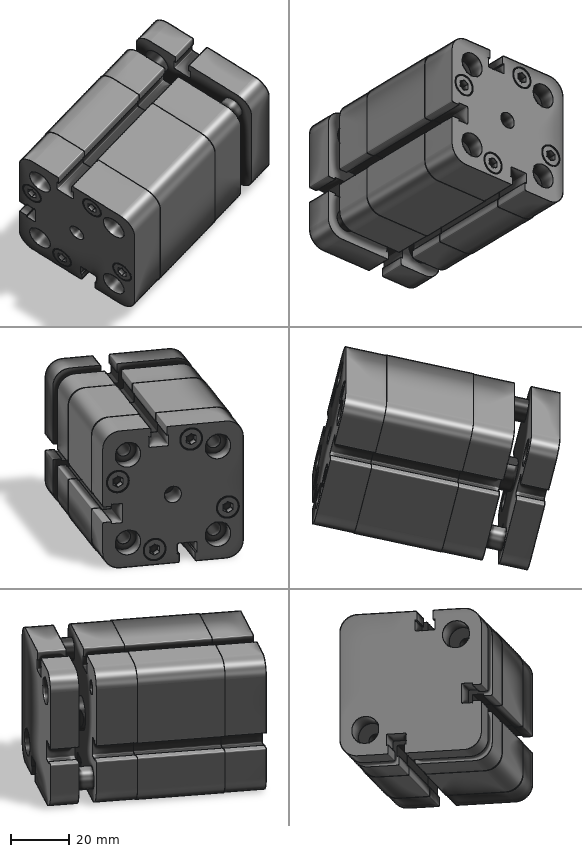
import cadquery as cq
import math

total_length = 75.5
cap_length = 14.4
plate_thickness = 10.0
gap = 6.05
front_y = -total_length / 2
plate_y = total_length / 2 - plate_thickness
body_end_y = plate_y - gap
body_length = body_end_y - front_y
tube_length = body_length - 2 * cap_length

cap_width = 50.0
cap_corner_radius = 6.2
tube_width = 50.1
tube_corner_radius = 6.0

slot_offset = 5.05
cap_slot_opening = 5.7
tube_slot_opening = 5.4
slot_undercut = 0.7
slot_round = 0.5
slot_lip_depth = 3.2
slot_depth = 7.0
slot_angles = (0, 90, 180)

mount_pitch = 32.0
mount_hole_diameter = 5.0
mount_bore_diameter = 9.0
mount_bore_depth = 5.8
plate_access_diameter = 9.5

screw_offset = 6.5
screw_distance = 19.55
screw_bore_diameter = 8.0
screw_head_diameter = 7.5
screw_ring_depth = 0.5
screw_hex_flats = 3.5
screw_hex_depth = 3.0

port_diameter = 6.0
port_depth = 10.0

guide_diameter = 8.0
guide_pitch = 34.0
rod_diameter = 12.0
rod_flats = 10.0
rod_tip_fillet = 1.1
rod_flat_length = 4.4
rod_embed = 0.75


def section(y):
    """Workplane across Y at the given place, with local X = X, local Y = Z, extruding toward +Y."""
    return cq.Workplane(cq.Plane(origin=(0, y, 0), xDir=(1, 0, 0), normal=(0, -1, 0)))


def cylinder(y, length, diameter, points):
    """Equal cylinders toward +Y, one at each (x, z) point."""
    return section(y).pushPoints(points).circle(diameter / 2).extrude(-length)


def turned(body, angle):
    """Turn a body about the Y axis, from +Z toward -X for positive angles."""
    return body.rotate((0, 0, 0), (0, 1, 0), -angle)


def slot_cutter(y, length, width, opening):
    """T-slot in the top side, with rounded lips at its mouth and rounded corners at its floor."""
    top = width / 2
    half = opening / 2
    inner_half = half + slot_undercut
    lip_z = top - slot_lip_depth
    floor_z = top - slot_depth
    r = slot_round
    return (
        section(y)
        .center(-slot_offset, 0)
        .moveTo(-half - r, top)
        .radiusArc((-half, top - r), r)
        .lineTo(-half, lip_z)
        .lineTo(-inner_half, lip_z)
        .lineTo(-inner_half, floor_z + r)
        .radiusArc((-inner_half + r, floor_z), -r)
        .lineTo(inner_half - r, floor_z)
        .radiusArc((inner_half, floor_z + r), -r)
        .lineTo(inner_half, lip_z)
        .lineTo(half, lip_z)
        .lineTo(half, top - r)
        .radiusArc((half + r, top), r)
        .close()
        .extrude(-length)
    )


def slotted_block(y, length, width, corner_radius, slot_opening):
    """Square block with rounded edges and a T-slot in its top, left and bottom sides."""
    block = section(y).rect(width, width).extrude(-length).edges("|Y").fillet(corner_radius)
    cutter = slot_cutter(y, length, width, slot_opening)
    for angle in slot_angles:
        block = block.cut(turned(cutter, angle))
    return block


def cap_block(y, length):
    """Slotted block with the cross-section of the caps and the plate."""
    return slotted_block(y, length, cap_width, cap_corner_radius, cap_slot_opening)


def piston_rod():
    """Rod with two flats facing +X and -X, a rounded tip and a 45 degree run-out behind the flats."""
    radius = rod_diameter / 2
    start = body_end_y - rod_embed
    rod = cylinder(start, plate_y - start, rod_diameter, [(0, 0)])
    rod = rod.faces(">Y").edges().fillet(rod_tip_fillet)
    flat_x = rod_flats / 2
    flat_end = plate_y - rod_flat_length
    run_out = radius - flat_x
    waste = (
        cq.Workplane("XY")
        .moveTo(flat_x, plate_y)
        .lineTo(flat_x, flat_end)
        .lineTo(radius, flat_end - run_out)
        .lineTo(radius, plate_y)
        .close()
        .extrude(radius, both=True)
    )
    return rod.cut(waste).cut(waste.mirror("YZ"))


def screw_ring(x, z):
    """Shallow groove around one flush screw head."""
    return (
        section(front_y)
        .center(x, z)
        .circle(screw_bore_diameter / 2)
        .circle(screw_head_diameter / 2)
        .extrude(-screw_ring_depth)
    )


def hex_socket(x, z):
    """Hexagon socket with one corner pointing up."""
    corner_diameter = screw_hex_flats / math.cos(math.pi / 6)
    return (
        section(front_y)
        .center(x, z)
        .transformed(rotate=(0, 0, 90))
        .polygon(6, corner_diameter)
        .extrude(-screw_hex_depth)
    )


tube = slotted_block(front_y + cap_length, tube_length, tube_width, tube_corner_radius, tube_slot_opening)
body = (
    cap_block(front_y, cap_length)
    .union(tube)
    .union(cap_block(body_end_y - cap_length, cap_length))
)

m = mount_pitch / 2
corners = [(m, m), (-m, m), (-m, -m), (m, -m)]
access_corners = [(-m, m), (m, -m)]
body = (
    body.cut(cylinder(front_y, body_length, mount_hole_diameter, corners))
    .cut(cylinder(front_y, mount_bore_depth, mount_bore_diameter, corners))
    .cut(cylinder(front_y, port_depth, port_diameter, [(0, 0)]))
)

s, d = screw_offset, screw_distance
for x, z in ((s, d), (-d, s), (-s, -d), (d, -s)):
    body = body.cut(screw_ring(x, z)).cut(hex_socket(x, z))

plate = cap_block(plate_y, plate_thickness)
plate = plate.cut(cylinder(plate_y, plate_thickness, plate_access_diameter, access_corners))

g = guide_pitch / 2
guides = cylinder(body_end_y - rod_embed, gap + rod_embed, guide_diameter, [(g, g), (-g, -g)])

result = body.union(plate).union(guides).union(piston_rod())